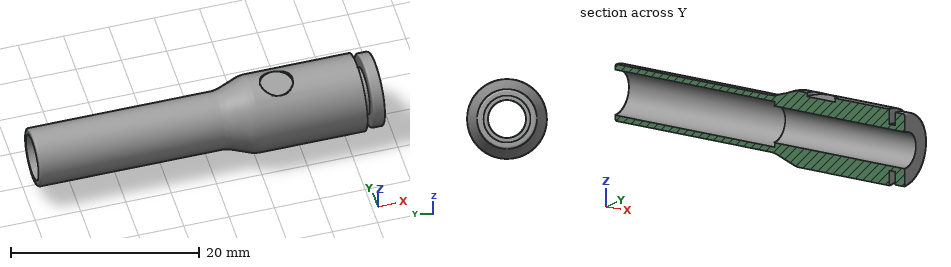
import cadquery as cq

length = 37.85
taper_start = 20.78
taper_end = 23.75
body_end = 35.8
collar_start = 36.53

stem_radius = 3.18
body_radius = 4.26
neck_radius = 2.593
collar_radius = 4.05

stem_bore_radius = 2.5
through_bore_radius = 2.0

stem_end_round = 0.25
taper_round = 2.0
collar_round = 0.23
edge_margin = 0.38

recess_x = 26.9
recess_radius = 1.78
recess_depth = 0.4


def cylinder(start, end, radius):
    """Solid cylinder along X between two stations."""
    return cq.Workplane("YZ").workplane(offset=start).circle(radius).extrude(end - start)


def stem_and_body():
    """Stem that widens through a blended cone into the body."""
    blank = (
        cq.Workplane("XZ")
        .moveTo(0, 0)
        .lineTo(0, stem_radius)
        .lineTo(taper_start, stem_radius)
        .lineTo(taper_end, body_radius)
        .lineTo(body_end, body_radius)
        .lineTo(body_end, 0)
        .close()
        .revolve(360, (0, 0, 0), (1, 0, 0))
    )
    blank = blank.faces("<X").edges().fillet(stem_end_round)
    taper_zone = cq.selectors.BoxSelector(
        (taper_start - edge_margin, -body_radius, -body_radius),
        (taper_end + edge_margin, body_radius, body_radius),
    )
    return blank.edges(taper_zone).edges("%CIRCLE").fillet(taper_round)


def release_collar():
    """Narrow neck carrying the rounded release collar."""
    neck = cylinder(body_end, collar_start, neck_radius)
    collar = cylinder(collar_start, length, collar_radius).edges().fillet(collar_round)
    return neck.union(collar)


def marking_recess():
    """Flat-floored round recess cut down from the top of the body."""
    return (
        cq.Workplane("XY", origin=(recess_x, 0, body_radius - recess_depth))
        .circle(recess_radius)
        .extrude(2 * recess_depth)
    )


stem_bore = cylinder(0, taper_start, stem_bore_radius)
through_bore = cylinder(0, length, through_bore_radius)

result = (
    stem_and_body()
    .union(release_collar())
    .cut(stem_bore)
    .cut(through_bore)
    .cut(marking_recess())
)